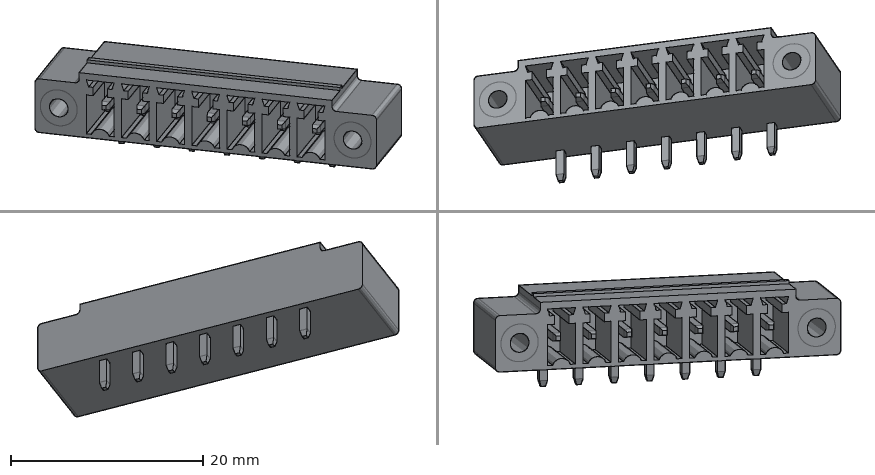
import cadquery as cq

length = 37.05
depth = 9.2
body_height = 7.2
flange_height = 6.0
raised_width = 27.42
edge_radius = 0.5

rib_height = 0.35
rib_width = 0.65
rib_setback = 2.9

contact_count = 7
contact_span = 22.85
pitch = contact_span / (contact_count - 1)
pocket_depth = 6.67
pocket_width = 3.0
pocket_floor = 0.45
pocket_shoulder = 4.78
neck_width = 1.55
neck_top = 5.7
dovetail_width = 2.52
pocket_top = 6.45

ridge_width = 1.93
ridge_height = 0.65

pin_size = 0.85
pin_tip_size = 0.5
pin_taper = 0.65
pin_below_body = 3.4
contact_height = 3.0
pin_tip_setback = 1.37
pin_rear_offset = 1.22

screw_offset = 15.95
screw_height = contact_height
insert_diameter = 4.0
bore_diameter = 2.0
insert_depth = pocket_depth

contact_positions = [i * pitch - contact_span / 2 for i in range(contact_count)]


def front_sketch(setback=0.0):
    """Workplane parallel to the mating face; extruding it runs towards +Y."""
    return cq.Workplane(cq.Plane(origin=(0, setback, 0), xDir=(-1, 0, 0), normal=(0, 1, 0)))


def make_housing():
    half_raised = raised_width / 2
    flanges = front_sketch().rect(length, flange_height).extrude(depth)
    flanges = flanges.translate((0, 0, flange_height / 2)).edges("|Y").fillet(edge_radius)
    raised = front_sketch().center(0, body_height / 2).rect(raised_width, body_height).extrude(depth)
    housing = flanges.union(raised)
    inner_corners = cq.selectors.BoxSelector(
        (-half_raised - edge_radius, 0, flange_height - edge_radius),
        (half_raised + edge_radius, depth, flange_height + edge_radius),
    )
    housing = housing.edges("|Y").edges(inner_corners).fillet(edge_radius)
    rib = (
        front_sketch(rib_setback)
        .center(0, body_height + rib_height / 2)
        .rect(raised_width, rib_height)
        .extrude(rib_width)
    )
    return housing.union(rib)


def make_pocket():
    """Keyed pocket centred on x = 0, with the floor ridge left standing."""
    right_side = [
        (ridge_width / 2, pocket_floor),
        (pocket_width / 2, pocket_floor),
        (pocket_width / 2, pocket_shoulder),
        (neck_width / 2, pocket_shoulder),
        (neck_width / 2, neck_top),
        (dovetail_width / 2, neck_top),
        (pocket_width / 2, pocket_top),
    ]
    left_side = [(-x, z) for x, z in reversed(right_side)]
    ridge_crest = (0, pocket_floor + ridge_height)
    outline = front_sketch().polyline(right_side + left_side)
    return outline.threePointArc(ridge_crest, right_side[0]).close().extrude(pocket_depth)


def make_square_pin(pin_length):
    """Pin along +Z with its tapered tip at z = 0."""
    tip = (
        cq.Workplane("XY")
        .rect(pin_tip_size, pin_tip_size)
        .workplane(offset=pin_taper)
        .rect(pin_size, pin_size)
        .loft()
    )
    shank = cq.Workplane("XY").workplane(offset=pin_taper).rect(pin_size, pin_size)
    return tip.union(shank.extrude(pin_length - pin_taper))


def make_contact():
    """Right-angle pin centred on x = 0."""
    leg_y = depth - pin_rear_offset
    leg = make_square_pin(pin_below_body + contact_height + pin_size / 2)
    leg = leg.translate((0, leg_y, -pin_below_body))
    blade = make_square_pin(leg_y - pin_tip_setback)
    blade = blade.rotate((0, 0, 0), (1, 0, 0), -90).translate((0, pin_tip_setback, contact_height))
    return leg.union(blade)


def make_insert_cylinder(x, diameter):
    return front_sketch().center(-x, screw_height).circle(diameter / 2).extrude(insert_depth)


result = make_housing()

for contact_x in contact_positions:
    result = result.cut(make_pocket().translate((contact_x, 0, 0)))
    result = result.union(make_contact().translate((contact_x, 0, 0)))

for screw_x in (-screw_offset, screw_offset):
    insert = make_insert_cylinder(screw_x, insert_diameter)
    sleeve = insert.cut(make_insert_cylinder(screw_x, bore_diameter))
    result = result.cut(insert, clean=False).union(sleeve, clean=False)